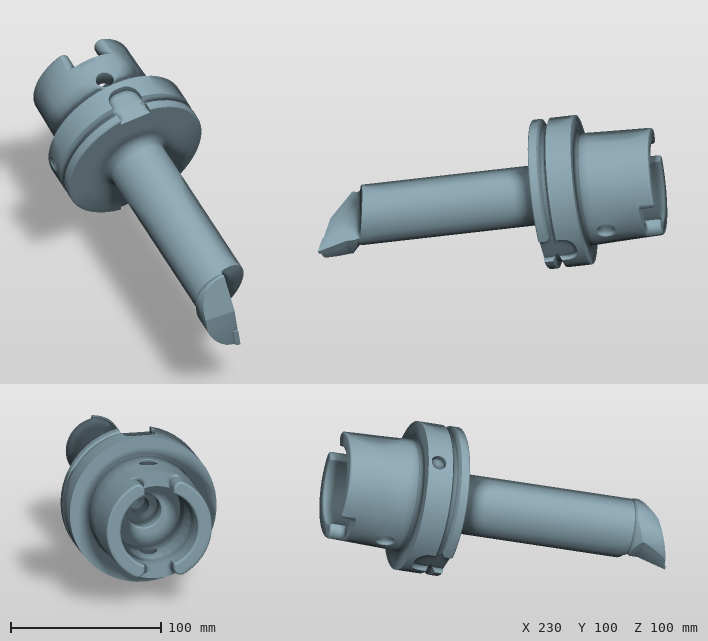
import cadquery as cq
import math


TAPER_LENGTH = 50.0
TAPER_MOUTH_RADIUS = 35.9
TAPER_BASE_RADIUS = 37.5
RELIEF_LENGTH = 3.0
RELIEF_DEPTH = 0.5
RELIEF_FILLET = 1.8
MOUTH_FILLET = 1.5

FLANGE_RADIUS = 100.0 / 2
FLANGE_LENGTH = 29.0
FLANGE_CHAMFER = 0.7
GROOVE_CENTRE = 20.0
GROOVE_TOP_WIDTH = 6.2
GROOVE_FLOOR_WIDTH = 2.5
GROOVE_FLOOR_RADIUS = 45.8

BAR_RADIUS = 20.0
BAR_END = 153.5
BAR_ROOT_FILLET = 5.0
BAR_END_SLANT = 15.0
BAR_END_FILLET = 2.3
BAR_END_STEP = 2.0
BAR_END_CHAMFER = 0.7

BORE_MOUTH_RADIUS = 26.2
BORE_INNER_RADIUS = 24.4
BORE_CONE_START = 19.5
BORE_CONE_END = 33.8
BORE_DEPTH = 46.0
TUBE_HOLE_RADIUS = 11.5
TUBE_HOLE_DEPTH = 13.8
TUBE_HOLE_CHAMFER = 0.7
COOLANT_HOLE_RADIUS = 6.2
COOLANT_HOLE_DEPTH = 13.8
DRILL_POINT_ANGLE = 118.0

KEY_SLOT_HALF_WIDTH = 10.0
KEY_SLOT_EDGE_RADIUS = 4.8
KEY_SLOT_SHELF = 32.2
KEY_SLOT_FLOOR_FILLET = 1.4
TOP_KEY_SLOT_DEPTH = 14.7
BOTTOM_KEY_SLOT_DEPTH = 10.3

CROSS_HOLE_X = -15.0
CROSS_HOLE_RADIUS = 6.0
CROSS_HOLE_CHAMFER = 0.5
FLANGE_SLOT_START = 4.8
FLANGE_SLOT_WIDTH = 21.5
FLANGE_SLOT_CORNER = 8.7
FLANGE_SLOT_FLOOR = 45.0
CHIP_HOLE_X = 7.1
CHIP_HOLE_RADIUS = 5.0
CHIP_HOLE_DEPTH = 4.5

HEAD_RADIUS = 20.5
HEAD_DROP = 6.5
HEAD_CONE_ANGLE = 45.0
HEAD_TOP_END = 156.8
HEAD_KINK_X = 171.5
HEAD_HEEL_X = 160.7
RELIEF_ANGLE = 7.0
TIP_X = 230 - TAPER_LENGTH
TIP_Z = -HEAD_DROP - HEAD_RADIUS
INSERT_OVERHANG = 1.0
INSERT_TOP_Z = -15.6
INSERT_HEEL_X = 172.2
INSERT_THICKNESS = 3.5

FORM_MARGIN = 11.5
CLEARANCE = 2.3


def revolve_about_x(profile):
    """Turn a closed (x, radius) profile about the X axis."""
    return profile.close().revolve(360, (0, 0, 0), (1, 0, 0))


def turned_blank():
    relief_start = -RELIEF_LENGTH
    neck_radius = TAPER_BASE_RADIUS - RELIEF_DEPTH
    profile = (
        cq.Workplane("XY")
        .moveTo(-TAPER_LENGTH, 0)
        .lineTo(-TAPER_LENGTH, TAPER_MOUTH_RADIUS)
        .lineTo(relief_start, TAPER_BASE_RADIUS)
        .lineTo(relief_start + RELIEF_DEPTH, neck_radius)
        .lineTo(-RELIEF_FILLET, neck_radius)
        .radiusArc((0, neck_radius + RELIEF_FILLET), -RELIEF_FILLET)
        .lineTo(0, FLANGE_RADIUS)
        .lineTo(GROOVE_CENTRE - GROOVE_TOP_WIDTH / 2, FLANGE_RADIUS)
        .lineTo(GROOVE_CENTRE - GROOVE_FLOOR_WIDTH / 2, GROOVE_FLOOR_RADIUS)
        .lineTo(GROOVE_CENTRE + GROOVE_FLOOR_WIDTH / 2, GROOVE_FLOOR_RADIUS)
        .lineTo(GROOVE_CENTRE + GROOVE_TOP_WIDTH / 2, FLANGE_RADIUS)
        .lineTo(FLANGE_LENGTH - FLANGE_CHAMFER, FLANGE_RADIUS)
        .lineTo(FLANGE_LENGTH, FLANGE_RADIUS - FLANGE_CHAMFER)
        .lineTo(FLANGE_LENGTH, BAR_RADIUS + BAR_ROOT_FILLET)
        .radiusArc((FLANGE_LENGTH + BAR_ROOT_FILLET, BAR_RADIUS), -BAR_ROOT_FILLET)
        .lineTo(BAR_END - BAR_END_CHAMFER, BAR_RADIUS)
        .lineTo(BAR_END, BAR_RADIUS - BAR_END_CHAMFER)
        .lineTo(BAR_END, 0)
    )
    return revolve_about_x(profile)


def bore():
    mouth = -TAPER_LENGTH
    floor = mouth + BORE_DEPTH
    tube_floor = floor + TUBE_HOLE_DEPTH
    coolant_end = tube_floor + COOLANT_HOLE_DEPTH
    point_length = COOLANT_HOLE_RADIUS / math.tan(math.radians(DRILL_POINT_ANGLE / 2))
    profile = (
        cq.Workplane("XY")
        .moveTo(mouth, 0)
        .lineTo(mouth, BORE_MOUTH_RADIUS)
        .lineTo(mouth + BORE_CONE_START, BORE_MOUTH_RADIUS)
        .lineTo(mouth + BORE_CONE_END, BORE_INNER_RADIUS)
        .lineTo(floor, BORE_INNER_RADIUS)
        .lineTo(floor, TUBE_HOLE_RADIUS + TUBE_HOLE_CHAMFER)
        .lineTo(floor + TUBE_HOLE_CHAMFER, TUBE_HOLE_RADIUS)
        .lineTo(tube_floor, TUBE_HOLE_RADIUS)
        .lineTo(tube_floor, COOLANT_HOLE_RADIUS)
        .lineTo(coolant_end, COOLANT_HOLE_RADIUS)
        .lineTo(coolant_end + point_length, 0)
    )
    return revolve_about_x(profile)


def key_slot(depth, side):
    """Mouth slot with rounded edges below a shelf; side is +1 for +Z and -1 for -Z."""
    start = -TAPER_LENGTH - CLEARANCE
    outer = TAPER_BASE_RADIUS + CLEARANCE
    half = KEY_SLOT_HALF_WIDTH
    edge = KEY_SLOT_EDGE_RADIUS
    slot = (
        cq.Workplane("YZ", origin=(start, 0, 0))
        .moveTo(-half, 0)
        .lineTo(-half, KEY_SLOT_SHELF - edge)
        .radiusArc((-half - edge, KEY_SLOT_SHELF), -edge)
        .lineTo(-outer, KEY_SLOT_SHELF)
        .lineTo(-outer, outer)
        .lineTo(outer, outer)
        .lineTo(outer, KEY_SLOT_SHELF)
        .lineTo(half + edge, KEY_SLOT_SHELF)
        .radiusArc((half, KEY_SLOT_SHELF - edge), -edge)
        .lineTo(half, 0)
        .close()
        .extrude(depth + CLEARANCE)
    )
    floor_x = start + depth + CLEARANCE
    reach = half + edge + CLEARANCE
    walls = cq.selectors.BoxSelector(
        (floor_x - CLEARANCE, -reach, CLEARANCE),
        (floor_x + CLEARANCE, reach, KEY_SLOT_SHELF),
    )
    slot = slot.faces(">X").edges(walls).fillet(KEY_SLOT_FLOOR_FILLET)
    return slot if side > 0 else slot.mirror("XY")


def flange_slot(side):
    """Slot from the +X face of the flange; side is +1 for +Z and -1 for -Z."""
    length = FLANGE_LENGTH - FLANGE_SLOT_START
    slot = (
        cq.Workplane("XY", origin=(FLANGE_SLOT_START, 0, FLANGE_SLOT_FLOOR))
        .rect(2 * length, FLANGE_SLOT_WIDTH)
        .extrude(FLANGE_RADIUS)
        .translate((length, 0, 0))
        .edges("|Z and <X")
        .fillet(FLANGE_SLOT_CORNER)
    )
    return slot if side > 0 else slot.mirror("XY")


def bar_end_cut():
    """Space above the Y = 0 plane that leaves a slanted, rounded face on the bar."""
    reach = BAR_RADIUS + CLEARANCE
    back = reach * math.tan(math.radians(BAR_END_SLANT))
    return (
        cq.Workplane("XY", origin=(0, 0, -reach))
        .moveTo(BAR_END - BAR_END_STEP, 0)
        .lineTo(BAR_END - BAR_END_STEP - back, reach)
        .lineTo(BAR_END + CLEARANCE, reach)
        .lineTo(BAR_END + CLEARANCE, 0)
        .close()
        .extrude(2 * reach)
        .edges(cq.selectors.NearestToPointSelector((BAR_END - BAR_END_STEP, 0, 0)))
        .fillet(BAR_END_FILLET)
    )


def cut_cross_hole(holder):
    """Drill along Z through both taper walls and chamfer the outer rims."""
    drill = cq.Workplane("XY", origin=(CROSS_HOLE_X, 0, 0)).circle(CROSS_HOLE_RADIUS)
    holder = holder.cut(drill.extrude(FLANGE_RADIUS, both=True))
    reach = CROSS_HOLE_RADIUS + CROSS_HOLE_CHAMFER
    wall_middle = (BORE_MOUTH_RADIUS + TAPER_MOUTH_RADIUS) / 2
    for low, high in ((wall_middle, FLANGE_RADIUS), (-FLANGE_RADIUS, -wall_middle)):
        rim = cq.selectors.BoxSelector(
            (CROSS_HOLE_X - reach, -reach, low), (CROSS_HOLE_X + reach, reach, high), boundingbox=True
        )
        holder = holder.edges(rim).chamfer(CROSS_HOLE_CHAMFER)
    return holder


def make_holder():
    holder = turned_blank().cut(bore())
    holder = holder.cut(key_slot(TOP_KEY_SLOT_DEPTH, 1))
    holder = holder.cut(key_slot(BOTTOM_KEY_SLOT_DEPTH, -1))
    holder = holder.faces("<X").edges().fillet(MOUTH_FILLET)
    chip_hole = (
        cq.Workplane("XZ", origin=(CHIP_HOLE_X, CHIP_HOLE_DEPTH - FLANGE_RADIUS, 0))
        .circle(CHIP_HOLE_RADIUS)
        .extrude(CHIP_HOLE_DEPTH + CLEARANCE)
    )
    holder = cut_cross_hole(holder).cut(chip_hole).cut(bar_end_cut())
    for side in (1, -1):
        holder = holder.cut(flange_slot(side))
    return holder


def relieved_prism(points):
    """Prism below the Y = 0 plane, narrowing away from it at the relief angle."""
    outline = cq.Workplane("XZ").polyline(points).close()
    return outline.extrude(HEAD_RADIUS + CLEARANCE, taper=RELIEF_ANGLE)


def head_envelope():
    """Two offset cylinders bounded at the bar by a cone, kept below the Y = 0 plane."""
    length = TIP_X - BAR_END + CLEARANCE
    section = cq.Workplane("YZ", origin=(BAR_END, 0, 0))
    upper = section.circle(HEAD_RADIUS).extrude(length)
    lower = section.center(0, -HEAD_DROP).circle(HEAD_RADIUS).extrude(length)
    middle = section.center(0, -HEAD_DROP / 2).rect(2 * HEAD_RADIUS, HEAD_DROP).extrude(length)
    base_radius = BAR_RADIUS - BAR_END_CHAMFER
    grown = base_radius + length * math.tan(math.radians(HEAD_CONE_ANGLE))
    cone = revolve_about_x(
        cq.Workplane("XY")
        .moveTo(BAR_END, 0)
        .lineTo(BAR_END, base_radius)
        .lineTo(BAR_END + length, grown)
        .lineTo(BAR_END + length, 0)
    )
    return upper.union(lower).union(middle).intersect(cone)


def heel_z(x):
    """Height of the sloping lower edge of the head and insert at Y = 0."""
    slope = (TIP_Z + HEAD_RADIUS) / (TIP_X - HEAD_HEEL_X)
    return TIP_Z + slope * (x - TIP_X)


def flank_x(z):
    """X of the head's lower end edge at Y = 0, between the kink and the tip."""
    return HEAD_KINK_X + (TIP_X - INSERT_OVERHANG - HEAD_KINK_X) * z / TIP_Z


def cutting_form(overhang):
    """Relieved shape of the cutting end, its end edges moved out along X by the overhang."""
    back_x = BAR_END - FORM_MARGIN
    top_z = HEAD_RADIUS + FORM_MARGIN
    top_x = HEAD_KINK_X - (HEAD_KINK_X - HEAD_TOP_END) * top_z / HEAD_RADIUS
    corner_x = flank_x(TIP_Z) + overhang
    return relieved_prism(
        [
            (back_x, -HEAD_RADIUS),
            (HEAD_HEEL_X, -HEAD_RADIUS),
            (corner_x, heel_z(corner_x)),
            (HEAD_KINK_X + overhang, 0),
            (top_x + overhang, top_z),
            (back_x, top_z),
        ]
    ).intersect(head_envelope())


def insert_seat():
    """Corner of the cutting end that the insert takes up."""
    outer_x = TIP_X + CLEARANCE
    outer_z = TIP_Z - CLEARANCE
    return (
        cq.Workplane("XZ")
        .moveTo(flank_x(INSERT_TOP_Z), INSERT_TOP_Z)
        .lineTo(outer_x, INSERT_TOP_Z)
        .lineTo(outer_x, outer_z)
        .lineTo(INSERT_HEEL_X, outer_z)
        .lineTo(INSERT_HEEL_X, heel_z(INSERT_HEEL_X))
        .close()
        .extrude(INSERT_THICKNESS)
    )


def make_head():
    return cutting_form(0).cut(insert_seat())


def make_insert():
    return cutting_form(INSERT_OVERHANG).intersect(insert_seat())


holder = make_holder()
head = make_head()
insert = make_insert()
result = cq.Compound.makeCompound([holder.val(), head.val(), insert.val()])